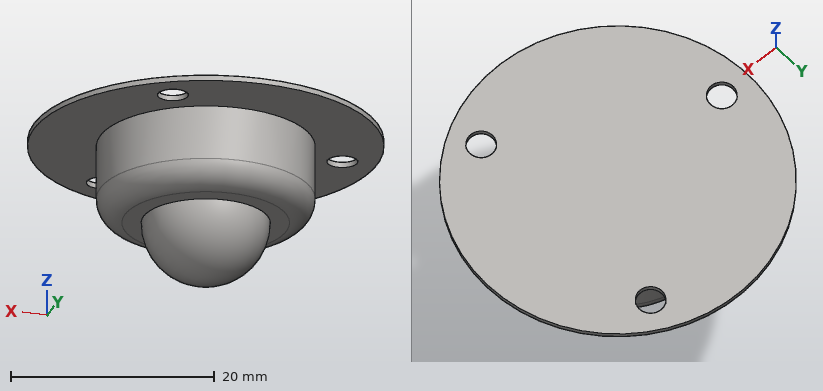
import cadquery as cq

flange_diameter = 35.0
flange_thickness = 0.55
cup_diameter = 21.5
cup_edge_radius = 2.52

overall_height = 14.95
ball_diameter = 12.67
ball_radius = ball_diameter / 2
cup_bottom_z = ball_radius - overall_height

hole_count = 3
hole_diameter = 3.0
hole_circle_radius = 14.0
first_hole_angle = 60.5


def make_ball():
    return cq.Workplane("XY").sphere(ball_radius).translate((0, 0, cup_bottom_z))


def make_flange():
    return (
        cq.Workplane("XY")
        .circle(flange_diameter / 2)
        .polarArray(hole_circle_radius, first_hole_angle, 360, hole_count)
        .circle(hole_diameter / 2)
        .extrude(-flange_thickness)
    )


def make_cup():
    return (
        cq.Workplane("XY")
        .circle(cup_diameter / 2)
        .extrude(cup_bottom_z)
        .faces("<Z")
        .edges()
        .fillet(cup_edge_radius)
    )


def make_housing(ball):
    return make_flange().union(make_cup()).cut(ball).solids()


ball = make_ball()
housing = make_housing(ball)

result = cq.Compound.makeCompound([housing.val(), ball.val()])